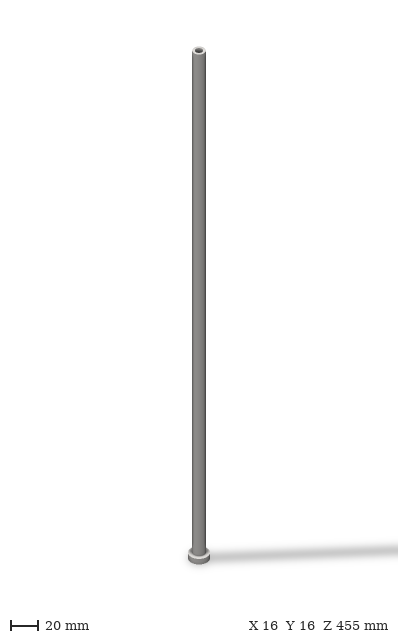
import cadquery as cq

total_length = 455.0
head_diameter = 16.0
head_height = 5.0
shaft_diameter = 10.0
bore_diameter = 6.0
root_fillet_radius = 0.5


def make_head():
    return cq.Workplane("XY").circle(head_diameter / 2).extrude(head_height)


def add_shaft(head):
    shaft_length = total_length - head_height
    return head.faces(">Z").workplane().circle(shaft_diameter / 2).extrude(shaft_length)


def fillet_shaft_root(body):
    """Round the inside corner where the shaft meets the head."""
    corner_reach = shaft_diameter / 2 + root_fillet_radius
    root_zone = cq.selectors.BoxSelector(
        (-corner_reach, -corner_reach, head_height - root_fillet_radius),
        (corner_reach, corner_reach, head_height + root_fillet_radius),
        boundingbox=True,
    )
    return body.edges(root_zone).fillet(root_fillet_radius)


def cut_bore(body):
    bore = cq.Workplane("XY").circle(bore_diameter / 2).extrude(total_length)
    return body.cut(bore)


result = cut_bore(fillet_shaft_root(add_shaft(make_head())))